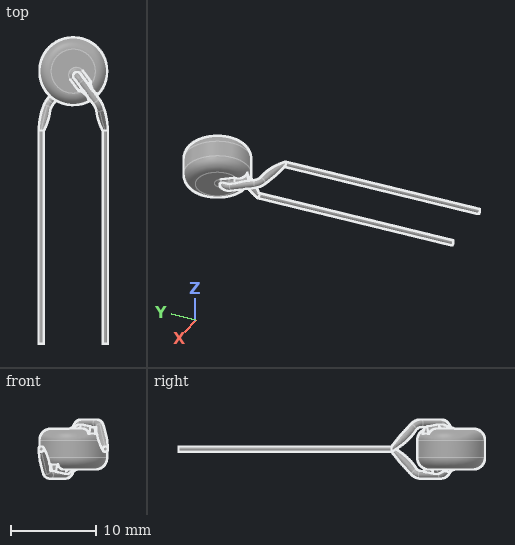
import cadquery as cq
import math

DISC_DIAMETER = 8.0
DISC_THICKNESS = 4.82
DISC_EDGE_RADIUS = 1.4
DISC_TOP = DISC_THICKNESS / 2

OVERALL_LENGTH = 36.0
OVERALL_HEIGHT = 7.0
WIRE_DIAMETER = 0.65
WIRE_PITCH = 7.52
WIRE_START_Y = -7.0
WIRE_END_Y = DISC_DIAMETER / 2 - OVERALL_LENGTH
WIRE_LENGTH = WIRE_START_Y - WIRE_END_Y

SLEEVE_DIAMETER = 0.95
SLEEVE_Z = (OVERALL_HEIGHT - SLEEVE_DIAMETER) / 2
ROOT_X = 0.35
ROOT_Y = -0.45
ROOT_BEND_RADIUS = 0.97
ELBOW_X = 3.02
ELBOW_Y = -4.0
ELBOW_SETBACK = 0.55
THROAT_DIAMETER = 1.0
THROAT_SHARE = 0.5
THROAT_SAG = 0.15

WEB_WIDTH = 1.8
WEB_SAG = 0.1
WEB_BASE_WIDTH = 0.58
WEB_BASE_Z = 1.08
ROOT_CREST_WIDTH = 0.65
ROOT_CREST_Z = 2.7
CREST_WIDTH = 0.9
CREST_Z = 2.9
FLAT_END_DISTANCE = 1.65
WEB_END_DISTANCE = 3.15
WEB_END_WIDTH = 1.3
WEB_END_CREST_Z = 2.7
WEB_END_TOE_Z = 1.73

Y_AXIS = cq.Vector(0, 1, 0)
Z_AXIS = cq.Vector(0, 0, 1)


def make_disc():
    base = cq.Workplane("XY").workplane(offset=-DISC_TOP)
    disc = base.circle(DISC_DIAMETER / 2).extrude(DISC_THICKNESS)
    return disc.edges("%CIRCLE").fillet(DISC_EDGE_RADIUS)


def make_sleeve_parts():
    """Return the bent round sleeve and the taper from its end down to the wire."""
    root = cq.Vector(ROOT_X, ROOT_Y, SLEEVE_Z)
    corner = cq.Vector(ELBOW_X, ELBOW_Y, SLEEVE_Z)
    tip = cq.Vector(WIRE_PITCH / 2, WIRE_START_Y, 0)
    outward = (corner - root).normalized()
    downward = (tip - corner).normalized()

    bend_start = root - Z_AXIS * ROOT_BEND_RADIUS
    bend_end = root + outward * ROOT_BEND_RADIUS
    elbow_start = corner - outward * ELBOW_SETBACK
    elbow_end = corner + downward * ELBOW_SETBACK
    path = cq.Wire.assembleEdges([
        cq.Edge.makeTangentArc(bend_start, Z_AXIS, bend_end),
        cq.Edge.makeLine(bend_end, elbow_start),
        cq.Edge.makeTangentArc(elbow_start, outward, elbow_end),
    ])
    section = cq.Workplane(cq.Plane(bend_start, normal=Z_AXIS)).circle(SLEEVE_DIAMETER / 2)
    tube = section.sweep(cq.Workplane(path))

    throat = elbow_end + (tip - elbow_end) * THROAT_SHARE - Z_AXIS * THROAT_SAG
    taper = cq.Solid.makeLoft([
        cq.Wire.makeCircle(SLEEVE_DIAMETER / 2, elbow_end, downward),
        cq.Wire.makeCircle(THROAT_DIAMETER / 2, throat, downward),
        cq.Wire.makeCircle(WIRE_DIAMETER / 2, tip, -Y_AXIS),
    ])
    return tube, cq.Workplane(taper)


def flank_middle(toe, toe_z, crest, crest_z):
    """Middle point of the hollow flank between toe and crest."""
    middle = (toe + crest) / 2 - WEB_SAG * (crest_z - toe_z)
    middle_z = (toe_z + crest_z) / 2 - WEB_SAG * (toe - crest)
    return middle, middle_z


def web_section(distance, toe_width, toe_z, crest_width, crest_z):
    """Closed cross-section wire of the web, square to the sleeve."""
    toe = toe_width / 2
    crest = crest_width / 2
    base = WEB_BASE_WIDTH / 2
    middle, middle_z = flank_middle(toe, toe_z, crest, crest_z)
    return (
        cq.Workplane("YZ", origin=(distance, 0, 0))
        .moveTo(-base, WEB_BASE_Z)
        .lineTo(base, WEB_BASE_Z)
        .lineTo(toe, toe_z)
        .threePointArc((middle, middle_z), (crest, crest_z))
        .lineTo(-crest, crest_z)
        .threePointArc((-middle, middle_z), (-toe, toe_z))
        .close()
        .val()
    )


def make_rounded_end():
    """Collar about the root whose turned profile is half of the root section."""
    toe = WEB_WIDTH / 2
    crest = ROOT_CREST_WIDTH / 2
    return (
        cq.Workplane("XZ")
        .moveTo(0, WEB_BASE_Z)
        .lineTo(WEB_BASE_WIDTH / 2, WEB_BASE_Z)
        .lineTo(toe, DISC_TOP)
        .threePointArc(flank_middle(toe, DISC_TOP, crest, ROOT_CREST_Z), (crest, ROOT_CREST_Z))
        .lineTo(0, ROOT_CREST_Z)
        .close()
        .revolve(360, (0, 0), (0, 1))
    )


def make_web():
    """Web along the sleeve with a rounded end about its root."""
    sections = [
        web_section(0, WEB_WIDTH, DISC_TOP, ROOT_CREST_WIDTH, ROOT_CREST_Z),
        web_section(ROOT_BEND_RADIUS, WEB_WIDTH, DISC_TOP, CREST_WIDTH, CREST_Z),
        web_section(FLAT_END_DISTANCE, WEB_WIDTH, DISC_TOP, CREST_WIDTH, CREST_Z),
        web_section(WEB_END_DISTANCE, WEB_END_WIDTH, WEB_END_TOE_Z, ROOT_CREST_WIDTH, WEB_END_CREST_Z),
    ]
    web = cq.Workplane(cq.Solid.makeLoft(sections, True)).union(make_rounded_end())
    heading = math.degrees(math.atan2(ELBOW_Y - ROOT_Y, ELBOW_X - ROOT_X))
    return web.rotate((0, 0, 0), (0, 0, 1), heading).translate((ROOT_X, ROOT_Y, 0))


def half_turn(shape):
    """Turn a shape about Y, from the upper right lead to the lower left one."""
    return shape.rotate((0, 0, 0), (0, 1, 0), 180)


def make_coating():
    """Disc and both sleeves as one piece of coating."""
    coating = make_disc()
    for part in (*make_sleeve_parts(), make_web()):
        coating = coating.union(part).union(half_turn(part))
    return coating


def make_wire():
    start = cq.Vector(WIRE_PITCH / 2, WIRE_START_Y, 0)
    return cq.Workplane(cq.Solid.makeCylinder(WIRE_DIAMETER / 2, WIRE_LENGTH, start, -Y_AXIS))


coating = make_coating()
wire = make_wire()
wires = [wire, half_turn(wire)]
result = cq.Compound.makeCompound([coating.val(), *[w.val() for w in wires]])